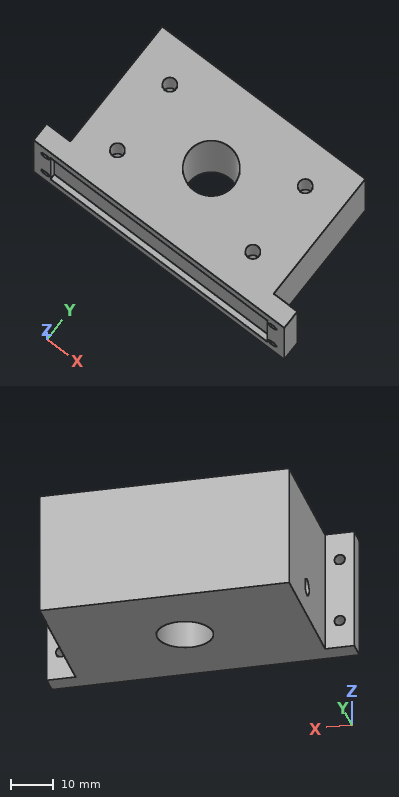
import cadquery as cq
import math

flange_width = 74.0
depth = 40.0
height = 30.0
flange_thickness = 5.0
body_width = 60.0

window_width = 63.9
window_height = 20.0
window_depth = 1.5

bore_diameter = 13.3
flange_hole_diameter = 2.5
flange_hole_pitch_x = 67.0
flange_hole_pitch_z = 16.0
top_hole_diameter = 3.5
top_hole_pitch_x = 39.95
top_hole_pitch_y = 20.0
top_hole_depth = 10.0
drill_point_angle = 118.0
side_hole_diameter = 4.0
side_hole_depth = 10.0
side_hole_from_front = 22.65
side_hole_height = 7.4


def corner_points(pitch_x, pitch_y):
    """Four corners of a rectangle centred on the origin."""
    return [(sx * pitch_x / 2, sy * pitch_y / 2) for sx in (-1, 1) for sy in (-1, 1)]


def make_block():
    """Flange at Y = 0 with the narrower body behind it, resting on Z = 0."""
    flange = cq.Workplane("XY").box(flange_width, flange_thickness, height, centered=(True, False, False))
    body = cq.Workplane("XY").box(body_width, depth, height, centered=(True, False, False))
    return flange.union(body)


def window_cutter():
    return cq.Workplane("XZ", origin=(0, 0, height / 2)).rect(window_width, window_height).extrude(-window_depth)


def flange_hole_cutters():
    """Through holes in the flange, two beside each end of the window."""
    return (
        cq.Workplane("XZ", origin=(0, 0, height / 2))
        .pushPoints(corner_points(flange_hole_pitch_x, flange_hole_pitch_z))
        .circle(flange_hole_diameter / 2)
        .extrude(-flange_thickness)
    )


def bore_cutter():
    return cq.Workplane("XY", origin=(0, depth / 2, 0)).circle(bore_diameter / 2).extrude(height)


def drilled_hole_cutter(x, y):
    """Blind hole from the top face ending in a conical drill point."""
    radius = top_hole_diameter / 2
    floor_z = height - top_hole_depth
    tip_z = floor_z - radius / math.tan(math.radians(drill_point_angle / 2))
    return (
        cq.Workplane("XZ")
        .moveTo(0, tip_z)
        .lineTo(radius, floor_z)
        .lineTo(radius, height)
        .lineTo(0, height)
        .close()
        .revolve(360, (0, 0, 0), (0, 1, 0))
        .translate((x, y, 0))
    )


def side_hole_cutter():
    """Flat-bottomed blind hole in the -X side of the body."""
    return (
        cq.Workplane("YZ", origin=(-body_width / 2, side_hole_from_front, side_hole_height))
        .circle(side_hole_diameter / 2)
        .extrude(side_hole_depth)
    )


result = (
    make_block()
    .cut(window_cutter())
    .cut(flange_hole_cutters())
    .cut(bore_cutter())
    .cut(side_hole_cutter())
)
for hole_x, hole_y in corner_points(top_hole_pitch_x, top_hole_pitch_y):
    result = result.cut(drilled_hole_cutter(hole_x, depth / 2 + hole_y))